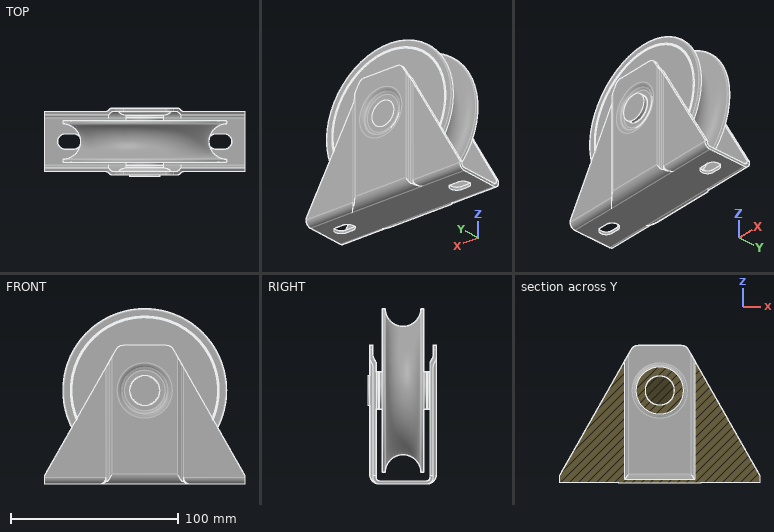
import cadquery as cq
import math


sheet = 2.0
bracket_length = 120.0
plate_half_width = 18.0
plate_bend_radius = 4.0
bracket_height = 83.0
end_height = 5.0
top_half_length = 15.7
top_corner_radius = 5.0

panel_half_length = 20.4
flank_radius = 2.0

dimple_floor_radius = 13.0
dimple_floor_fillet = 2.0
dimple_mouth_fillet = 3.6

slot_spacing = 90.0
slot_length = 14.0
slot_width = 9.0

wheel_diameter = 98.0
wheel_width = 25.0
wheel_top = 105.0
groove_radius = 10.5
rim_edge_radius = 0.6
face_groove_radius = 44.0
face_groove_depth = 0.5

axle_diameter = 17.0
head_diameter = 18.0
head_length = 3.0
spacer_diameter = 22.5
collar_length = 1.9
spacer_chamfer = 0.4

wheel_radius = wheel_diameter / 2
axle_height = wheel_top - wheel_radius
wheel_half_width = wheel_width / 2
panel_half_width = plate_half_width + sheet
panel_bend_radius = plate_bend_radius + sheet
dimple_floor_outside = panel_half_width - sheet
dimple_floor_inside = dimple_floor_outside - sheet
washer_start = wheel_half_width + collar_length
washer_length = dimple_floor_inside - washer_start
bend_angle = math.radians(45)
half_bend_tan = math.tan(bend_angle / 2)

outermost = cq.selectors.RadiusNthSelector(-1)


def revolve_about_axle(profile):
    """Turn a closed (radius, y) profile about the axle and lift it to the axle height."""
    return profile.revolve(360, (0, 0, 0), (0, 1, 0)).translate((0, 0, axle_height))


def ring(inner_diameter, outer_diameter, y_start, length):
    """Plain ring around the axle, reaching from y_start towards +Y."""
    blank = cq.Workplane("XZ").circle(outer_diameter / 2).circle(inner_diameter / 2).extrude(-length)
    return blank.translate((0, y_start, axle_height))


def rounded_block(half_width, bottom, bend_radius):
    """Full-length block with its two lower long edges rounded."""
    block = cq.Workplane("XY").box(
        bracket_length, 2 * half_width, bracket_height - bottom, centered=(True, True, False)
    )
    return block.translate((0, 0, bottom)).edges("|X and <Z").fillet(bend_radius)


def panel_prism(inset, foot_rounded):
    """Prism bounding the raised panels: 45 degree flanks with a rounded crest.

    A rounded foot runs out to the side plate and on at 45 degrees through the bend below it;
    a sharp foot drops straight in.
    """
    crest_x = panel_half_length - inset * half_bend_tan
    crest_y = panel_half_width - inset
    foot_x = crest_x + sheet
    foot_y = plate_half_width - inset
    arc_setback = flank_radius * half_bend_tan
    arc_length = flank_radius * math.sin(bend_angle)
    arc_drop = flank_radius * (1 - math.cos(bend_angle))
    outline = (
        cq.Workplane("XY")
        .lineTo(0, crest_y)
        .lineTo(crest_x - arc_setback, crest_y)
        .tangentArcPoint((crest_x - arc_setback + arc_length, crest_y - arc_drop), relative=False)
    )
    if foot_rounded:
        outline = (
            outline.lineTo(foot_x + arc_setback - arc_length, foot_y + arc_drop)
            .tangentArcPoint((foot_x + arc_setback, foot_y), relative=False)
            .lineTo(foot_x + arc_setback + foot_y, 0)
        )
    else:
        outline = outline.lineTo(foot_x, foot_y).lineTo(foot_x, 0)
    quarter = outline.close().extrude(bracket_height)
    half = quarter.union(quarter.mirror("YZ"))
    return half.union(half.mirror("XZ"))


def bracket_form(inset, foot_rounded):
    """Solid filling the bracket up to the sheet face that lies `inset` below the outside."""
    plate = rounded_block(plate_half_width - inset, inset, plate_bend_radius - inset)
    panel = rounded_block(panel_half_width - inset, inset, panel_bend_radius - inset)
    return plate.union(panel.intersect(panel_prism(inset, foot_rounded)))


def side_outline():
    """Prism with the side plates' trapezoid outline."""
    half_length = bracket_length / 2
    return (
        cq.Workplane("XZ")
        .polyline([
            (-half_length, 0), (half_length, 0), (half_length, end_height),
            (top_half_length, bracket_height), (-top_half_length, bracket_height),
            (-half_length, end_height),
        ])
        .close()
        .extrude(panel_half_width, both=True)
        .edges("|Y and >Z")
        .fillet(top_corner_radius)
    )


def dimple_curve(start, floor_radius, floor_y, floor_fillet, mouth_fillet):
    """Continue the (radius, y) outline `start` along one face of the dimple, from floor to mouth."""
    mouth_radius = floor_radius + sheet
    mouth_y = floor_y - sheet
    floor_setback = floor_fillet * half_bend_tan
    mouth_setback = mouth_fillet * half_bend_tan
    floor_run = floor_setback * math.cos(bend_angle)
    mouth_run = mouth_setback * math.cos(bend_angle)
    return (
        start.lineTo(floor_radius - floor_setback, floor_y)
        .tangentArcPoint((floor_radius + floor_run, floor_y - floor_run), relative=False)
        .lineTo(mouth_radius - mouth_run, mouth_y + mouth_run)
        .tangentArcPoint((mouth_radius + mouth_setback, mouth_y), relative=False)
    )


def dimple_solid(floor_radius, floor_y, floor_fillet, mouth_fillet):
    """Dish on the -Y side that fills the dimple from one sheet face out to its mouth plane."""
    outline = cq.Workplane("XY").moveTo(0, floor_y - sheet).lineTo(0, floor_y)
    return revolve_about_axle(
        dimple_curve(outline, floor_radius, floor_y, floor_fillet, mouth_fillet).close()
    )


def add_dimples(bracket):
    """Press a dimple into each raised panel."""
    bulge = dimple_solid(
        dimple_floor_radius + sheet * half_bend_tan, -dimple_floor_inside,
        dimple_floor_fillet + sheet, dimple_mouth_fillet - sheet,
    )
    recess = dimple_solid(
        dimple_floor_radius, -dimple_floor_outside, dimple_floor_fillet, dimple_mouth_fillet
    )
    bracket = bracket.union(bulge).union(bulge.mirror("XZ"))
    return bracket.cut(recess).cut(recess.mirror("XZ"))


def cut_slots(bracket):
    """Cut the two mounting slots through the floor."""
    slots = (
        cq.Workplane("XY")
        .pushPoints([(-slot_spacing / 2, 0), (slot_spacing / 2, 0)])
        .slot2D(slot_length, slot_width)
        .extrude(sheet)
    )
    return bracket.cut(slots)


def build_shaft():
    """Plain length of the axle, ending flush with the dimple floors' outer faces."""
    shaft = cq.Workplane("XZ").circle(axle_diameter / 2).extrude(dimple_floor_outside, both=True)
    return shaft.translate((0, 0, axle_height))


def build_bracket():
    outside = bracket_form(inset=0, foot_rounded=True)
    inside = bracket_form(inset=sheet, foot_rounded=False)
    bracket = outside.cut(inside).intersect(side_outline())
    bracket = cut_slots(add_dimples(bracket))
    return bracket.cut(build_shaft())


def build_wheel():
    """U-groove wheel with a fine V-shaped ring groove in each face."""
    blank = ring(axle_diameter, wheel_diameter, -wheel_half_width, wheel_width)
    rope_groove = revolve_about_axle(
        cq.Workplane("XY").moveTo(wheel_radius, 0).circle(groove_radius)
    )
    wheel = blank.cut(rope_groove).edges(outermost).fillet(rim_edge_radius)
    face_groove = revolve_about_axle(
        cq.Workplane("XY")
        .moveTo(face_groove_radius - face_groove_depth, wheel_half_width)
        .lineTo(face_groove_radius, wheel_half_width - face_groove_depth)
        .lineTo(face_groove_radius + face_groove_depth, wheel_half_width)
        .close()
    )
    return wheel.cut(face_groove).cut(face_groove.mirror("XZ"))


def build_axle():
    """Axle with its head on the -Y side and its other end flush with the dimple floor."""
    head = cq.Workplane("XZ").circle(head_diameter / 2).extrude(head_length)
    return build_shaft().union(head.translate((0, -dimple_floor_outside, axle_height)))


def build_collar():
    """Collar against the +Y wheel face, chamfered at its free end."""
    collar = ring(axle_diameter, spacer_diameter, wheel_half_width, collar_length)
    return collar.faces(">Y").edges(outermost).chamfer(spacer_chamfer)


def build_washer():
    """Washer between collar and +Y dimple floor, chamfered at both ends."""
    washer = ring(axle_diameter, spacer_diameter, washer_start, washer_length)
    return washer.edges(outermost).chamfer(spacer_chamfer)


bracket = build_bracket()
wheel = build_wheel()
axle = build_axle()
collars = []
washers = []
for mirrored in (False, True):
    collar = build_collar()
    washer = build_washer()
    collars.append(collar.mirror("XZ") if mirrored else collar)
    washers.append(washer.mirror("XZ") if mirrored else washer)

result = cq.Compound.makeCompound([
    bracket.val(),
    wheel.val(),
    axle.val(),
    *[collar.val() for collar in collars],
    *[washer.val() for washer in washers],
])